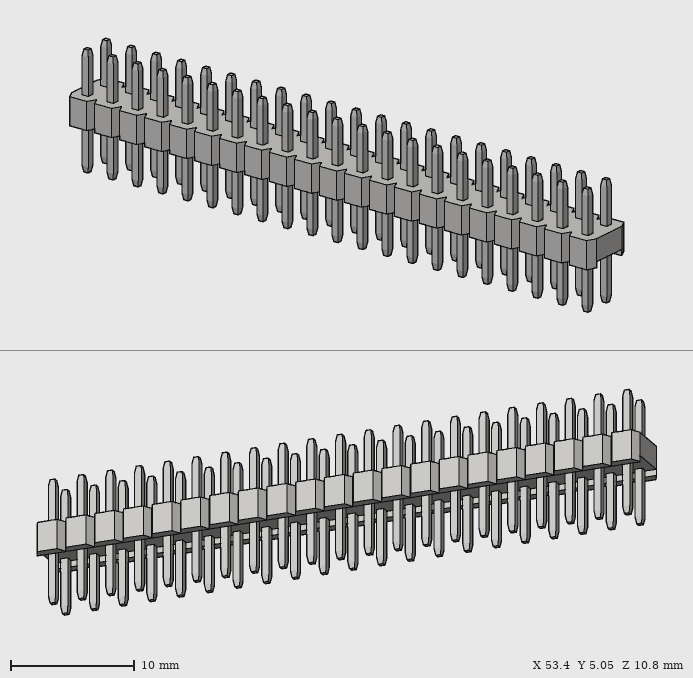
import cadquery as cq

positions = 21
length = 53.35
width = 5.05
pitch = length / positions
row_spacing = width / 2

body_height = 2.55
corner_x = 0.4
corner_y = 0.8
channel_depth = 0.55
channel_width = 3.3

pin_length = 10.8
pin_width = 0.65
pin_bottom = -4.2
tip_height = 0.6
tip_width = 0.45


def body_outline(centres):
    """Closed plan outline: a strip with cut corners and a V notch between neighbouring positions."""
    half_cell = pitch / 2
    edge_y = width / 2
    notch_y = edge_y - corner_y
    back_edge = [(-length / 2, notch_y)]
    for x in centres:
        back_edge += [
            (x - half_cell + corner_x, edge_y),
            (x + half_cell - corner_x, edge_y),
            (x + half_cell, notch_y),
        ]
    front_edge = [(x, -y) for x, y in reversed(back_edge)]
    return back_edge + front_edge


def make_body(centres):
    strip = cq.Workplane("XY").polyline(body_outline(centres)).close().extrude(body_height)
    channel = cq.Workplane("XY").box(length, channel_width, channel_depth, centered=(True, True, False))
    return strip.cut(channel)


def make_tip(base_height, direction):
    """Truncated pyramid on one pin end; direction is +1 up or -1 down."""
    return (
        cq.Workplane("XY", origin=(0, 0, base_height))
        .rect(pin_width, pin_width)
        .workplane(offset=direction * tip_height)
        .rect(tip_width, tip_width)
        .loft(ruled=True)
    )


def make_pin():
    shank_bottom = pin_bottom + tip_height
    shank_length = pin_length - 2 * tip_height
    shank = (
        cq.Workplane("XY", origin=(0, 0, shank_bottom))
        .rect(pin_width, pin_width)
        .extrude(shank_length)
    )
    lower_tip = make_tip(shank_bottom, -1)
    upper_tip = make_tip(shank_bottom + shank_length, 1)
    return shank.union(lower_tip).union(upper_tip)


column_centres = [(i - (positions - 1) / 2) * pitch for i in range(positions)]
row_centres = [-row_spacing / 2, row_spacing / 2]
pin_places = [cq.Location(cq.Vector(x, y, 0)) for x in column_centres for y in row_centres]

pin = make_pin().val()
pins = cq.Workplane("XY").newObject([pin.moved(place) for place in pin_places]).combine()
result = make_body(column_centres).union(pins)